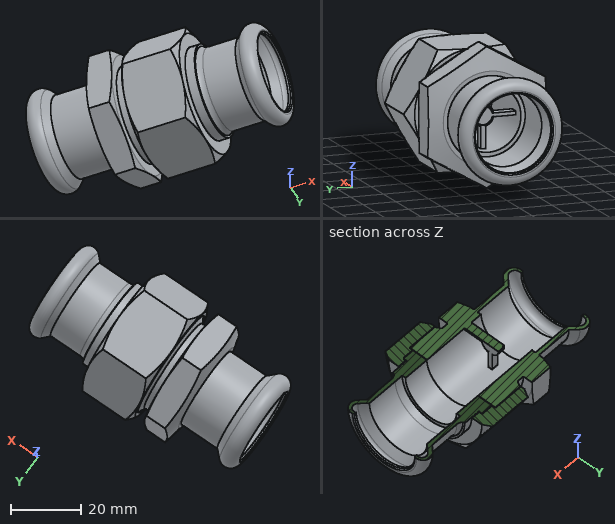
import cadquery as cq
import math

total_length = 72.0

pipe_diameter = 25.2
socket_diameter = 22.2
mouth_diameter = 23.3
mouth_chamfer = 0.4
groove_radius_reduction = 1.2
male_bead_radius = 3.1
tail_bead_radius = 2.8
bore_diameter = 19.6

across_flats = 36.0
across_corners = across_flats / math.cos(math.pi / 6)

body_start = 20.0
body_face_diameter = 28.0
hex_end = 29.0
hex_chamfer_angle = 15.0
neck_diameter = 29.3
thread_start = 31.3
thread_diameter = 33.25
thread_chamfer_angle = 30.0
joint = 43.0

hub_diameter = 6.4
hub_nose_diameter = 5.5
hub_nose_length = 0.5
hub_length = 3.0
hub_start = 24.0
side_spoke_width = 1.1
lower_spoke_width = 1.5
spoke_embed = 0.5

nut_start = 32.1
nut_end = 50.2
nut_chamfer_angle = 30.0
nut_shoulder = 47.0
nut_hole_diameter = 28.1

flange_diameter = 30.29
collar_diameter = 28.0
collar_end = 53.1
weld_diameter = 26.6
weld_end = 55.0
tail_stop = 52.0


def rod(diameter, start, end):
    """Cylinder along X."""
    return cq.Workplane("YZ").workplane(offset=start).circle(diameter / 2).extrude(end - start)


def revolve_about_x(outline):
    return outline.close().revolve(360, (0, 0, 0), (1, 0, 0))


def hexagon(start, end, first_corner):
    """Hexagonal prism along X with a corner at the given angle from +Y towards +Z."""
    prism = cq.Workplane("YZ").workplane(offset=start).polygon(6, across_corners).extrude(end - start)
    return prism.rotate((0, 0, 0), (1, 0, 0), first_corner)


def corner_turning(start, end, start_diameter, end_diameter, angle):
    """Round blank with conical ends that trims the corners of a hexagon."""
    corner = across_corners / 2
    slope = math.tan(math.radians(angle))
    outline = (
        cq.Workplane("XY")
        .moveTo(start, 0)
        .lineTo(start, start_diameter / 2)
        .lineTo(start + (corner - start_diameter / 2) * slope, corner)
        .lineTo(end - (corner - end_diameter / 2) * slope, corner)
        .lineTo(end, end_diameter / 2)
        .lineTo(end, 0)
    )
    return revolve_about_x(outline)


def press_end(bead_radius, length):
    """Pipe with its beaded mouth at X = 0, reaching to X = length."""
    pipe = pipe_diameter / 2
    socket = socket_diameter / 2
    mouth = mouth_diameter / 2
    mouth_rim = mouth + mouth_chamfer
    wall = pipe - socket
    groove_radius = bead_radius - groove_radius_reduction
    groove_shift = (wall - groove_radius_reduction) / math.sqrt(2)
    bead_centre = (bead_radius, pipe)
    groove_centre = (bead_radius - groove_shift, pipe - groove_shift)

    def on_circle(centre, radius, angle):
        """Point on a circle, with the angle measured from +X."""
        turn = math.radians(angle)
        return centre[0] + radius * math.cos(turn), centre[1] + radius * math.sin(turn)

    def angle_at(centre, radius, height):
        """Angle on the mouth side of a circle where it lies at the given distance from the axis."""
        return 180 - math.degrees(math.asin((height - centre[1]) / radius))

    def cone_foot(centre, radius, pipe_radius):
        """Where the 45 degree cone behind a circle meets the straight pipe."""
        return sum(centre) + radius * math.sqrt(2) - pipe_radius

    tangent_angle = 45
    crown_angle = 90
    rim_angle = angle_at(bead_centre, bead_radius, mouth_rim)
    lip_angle = angle_at(groove_centre, groove_radius, mouth)
    rim = on_circle(bead_centre, bead_radius, rim_angle)
    outline = (
        cq.Workplane("XY")
        .moveTo(*rim)
        .threePointArc(
            on_circle(bead_centre, bead_radius, (rim_angle + 180) / 2),
            on_circle(bead_centre, bead_radius, 180),
        )
        .threePointArc(
            on_circle(bead_centre, bead_radius, crown_angle),
            on_circle(bead_centre, bead_radius, tangent_angle),
        )
        .lineTo(cone_foot(bead_centre, bead_radius, pipe), pipe)
        .lineTo(length, pipe)
        .lineTo(length, socket)
        .lineTo(cone_foot(groove_centre, groove_radius, socket), socket)
        .lineTo(*on_circle(groove_centre, groove_radius, tangent_angle))
        .threePointArc(
            on_circle(groove_centre, groove_radius, crown_angle),
            on_circle(groove_centre, groove_radius, lip_angle),
        )
        .lineTo(rim[0] + mouth_chamfer, mouth)
    )
    return revolve_about_x(outline)


def make_valve_guide():
    shoulder = hub_start + hub_nose_length
    hub_end = hub_start + hub_length
    reach = bore_diameter / 2 + spoke_embed

    def spoke(width, start):
        """Spoke from the axis down into the bore wall, from the given X to the back of the hub."""
        bar = cq.Workplane("XY").box(hub_end - start, width, reach, centered=(False, True, False))
        return bar.translate((start, 0, -reach))

    nose = rod(hub_nose_diameter, hub_start, shoulder)
    hub = rod(hub_diameter, shoulder, hub_end).union(nose)
    side_spoke = spoke(side_spoke_width, hub_start).rotate((0, 0, 0), (1, 0, 0), -90)
    return hub.union(side_spoke).union(spoke(lower_spoke_width, shoulder))


def make_male_fitting():
    hexagonal = hexagon(body_start, hex_end, 90).intersect(
        corner_turning(body_start, hex_end, body_face_diameter, across_flats, hex_chamfer_angle)
    )
    neck = rod(neck_diameter, hex_end, thread_start)
    thread_depth = (thread_diameter - neck_diameter) / 2
    thread_lead = thread_depth * math.tan(math.radians(thread_chamfer_angle))
    thread = rod(thread_diameter, thread_start, joint).faces("<X").chamfer(thread_lead, thread_depth)
    body = hexagonal.union(neck).union(thread).cut(rod(bore_diameter, body_start, joint))
    return body.union(press_end(male_bead_radius, body_start)).union(make_valve_guide())


def make_nut():
    nut = hexagon(nut_start, nut_end, 0).intersect(
        corner_turning(nut_start, nut_end, across_flats, across_flats, nut_chamfer_angle)
    )
    return (
        nut.cut(rod(thread_diameter, nut_start, joint))
        .cut(rod(flange_diameter, joint, nut_shoulder))
        .cut(rod(nut_hole_diameter, nut_shoulder, nut_end))
    )


def make_tail_piece():
    pipe = pipe_diameter / 2
    weld = weld_diameter / 2
    weld_length = weld_end - collar_end
    weld_height = weld - pipe
    weld_radius = (weld_length**2 + weld_height**2) / (2 * weld_height)
    outline = (
        cq.Workplane("XY")
        .moveTo(joint, bore_diameter / 2)
        .lineTo(joint, flange_diameter / 2)
        .lineTo(nut_shoulder, flange_diameter / 2)
        .lineTo(nut_shoulder, collar_diameter / 2)
        .lineTo(collar_end, collar_diameter / 2)
        .lineTo(collar_end, weld)
        .radiusArc((weld_end, pipe), -weld_radius)
        .lineTo(weld_end, socket_diameter / 2)
        .lineTo(tail_stop, socket_diameter / 2)
        .lineTo(tail_stop, bore_diameter / 2)
    )
    pipe_end = press_end(tail_bead_radius, total_length - weld_end).mirror("YZ")
    return revolve_about_x(outline).union(pipe_end.translate((total_length, 0, 0)))


male_fitting = make_male_fitting()
nut = make_nut()
tail_piece = make_tail_piece()

result = cq.Compound.makeCompound([male_fitting.val(), nut.val(), tail_piece.val()])